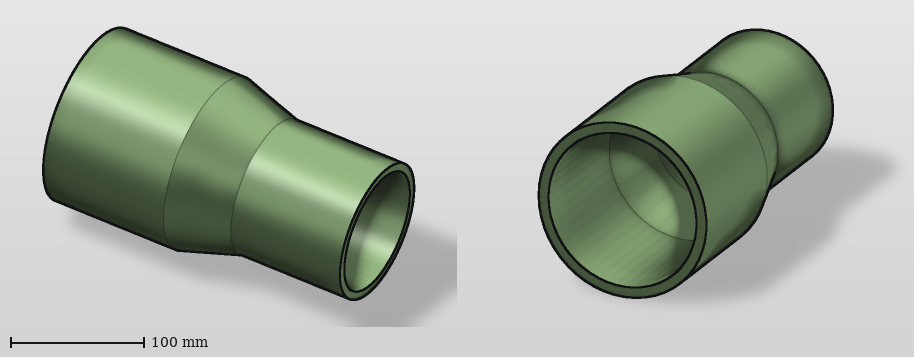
import cadquery as cq

total_length = 250.0
wide_length = 105.0
narrow_length = 95.0
wide_outer_diameter = 140.0
wide_bore_diameter = 123.4
narrow_outer_diameter = 110.0
narrow_bore_diameter = 96.8

taper_start = wide_length
taper_end = total_length - narrow_length


def stepped_body(wide_diameter, narrow_diameter):
    """Solid of revolution about X: wide cylinder, cone, narrow cylinder."""
    wide_radius = wide_diameter / 2
    narrow_radius = narrow_diameter / 2
    return (
        cq.Workplane("XY")
        .moveTo(0, 0)
        .lineTo(0, wide_radius)
        .lineTo(taper_start, wide_radius)
        .lineTo(taper_end, narrow_radius)
        .lineTo(total_length, narrow_radius)
        .lineTo(total_length, 0)
        .close()
        .revolve(360, (0, 0, 0), (1, 0, 0))
    )


outside = stepped_body(wide_outer_diameter, narrow_outer_diameter)
bore = stepped_body(wide_bore_diameter, narrow_bore_diameter)

result = outside.cut(bore)